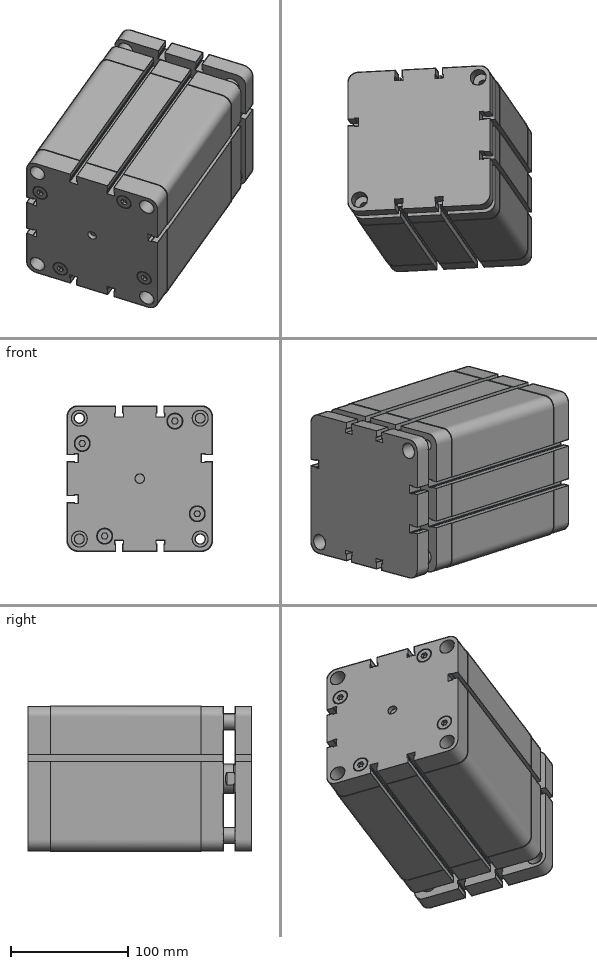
import cadquery as cq
import math

total_length = 190.5
barrel_size = 124.0
barrel_corner_radius = 9.5
cap_size = 123.0
cap_corner_radius = 9.0
body_length = 166.5
cap_length = 19.2
plate_thickness = 14.1

slot_offset = 17.5
slot_mouth_width = 6.0
slot_mouth_depth = 6.3
slot_foot_width = 7.2
slot_depth = 9.5

corner_hole_offset = 51.5
corner_hole_diameter = 8.4
corner_bore_diameter = 13.5
corner_bore_depth = 15.2
blind_hole_depth = 38.1

screw_near_offset = 30.0
screw_far_offset = 49.0
screw_recess_diameter = 13.5
screw_head_diameter = 12.5
screw_gap_depth = 5.7
socket_width = 5.0
socket_depth = 2.9

port_diameter = 8.0
port_depth = 4.4

guide_rod_offset = 48.4
guide_rod_diameter = 14.0
piston_rod_diameter = 25.0
piston_rod_chamfer_length = 1.3
piston_rod_chamfer_depth = 0.8
flat_to_flat = 22.5
flat_length = 7.0

front_y = -total_length / 2
body_back_y = front_y + body_length
plate_y = total_length / 2 - plate_thickness
gap_length = plate_y - body_back_y


def plane_at(y):
    """Section plane at y: local x is X, local y is Z, extrusion goes towards +Y."""
    return cq.Workplane(cq.Plane(origin=(0, y, 0), xDir=(1, 0, 0), normal=(0, -1, 0)))


def rounded_block(size, radius, y, length):
    return plane_at(y).rect(size, size).extrude(-length).edges("|Y").fillet(radius)


def cylinders(points, diameter, y, length):
    return plane_at(y).pushPoints(points).circle(diameter / 2).extrude(-length)


def t_slot(offset, turn):
    """T-slot over the whole length on the top face, turned about Y onto another side."""
    top = barrel_size / 2
    floor = top - slot_depth
    foot_height = slot_depth - slot_mouth_depth
    mouth = (
        plane_at(front_y)
        .center(offset, floor + slot_depth / 2)
        .rect(slot_mouth_width, slot_depth)
        .extrude(-total_length)
    )
    foot = (
        plane_at(front_y)
        .center(offset, floor + foot_height / 2)
        .rect(slot_foot_width, foot_height)
        .extrude(-total_length)
    )
    return mouth.union(foot).rotate((0, 0, 0), (0, 1, 0), turn)


def piston_rod():
    radius = piston_rod_diameter / 2
    rod = (
        cq.Workplane("XY")
        .moveTo(0, body_back_y)
        .lineTo(radius, body_back_y)
        .lineTo(radius, plate_y - piston_rod_chamfer_length)
        .lineTo(radius - piston_rod_chamfer_depth, plate_y)
        .lineTo(0, plate_y)
        .close()
        .revolve(360, (0, 0, 0), (0, 1, 0))
    )
    flat = flat_to_flat / 2
    flat_cut_depth = radius - flat
    for side in (-1, 1):
        cut = (
            cq.Workplane("XY", origin=(0, 0, -radius))
            .moveTo(side * flat, plate_y)
            .lineTo(side * flat, plate_y - flat_length)
            .lineTo(side * radius, plate_y - flat_length - flat_cut_depth)
            .lineTo(side * radius, plate_y)
            .close()
            .extrude(piston_rod_diameter)
        )
        rod = rod.cut(cut)
    return rod


def screw_recesses(points):
    """Gap around each flush screw head, plus its hexagon socket."""
    gaps = (
        plane_at(front_y)
        .pushPoints(points)
        .circle(screw_recess_diameter / 2)
        .circle(screw_head_diameter / 2)
        .extrude(-screw_gap_depth)
    )
    socket_across_corners = socket_width / math.cos(math.pi / 6)
    sockets = (
        plane_at(front_y)
        .pushPoints(points)
        .polygon(6, socket_across_corners)
        .extrude(-socket_depth)
    )
    return gaps.union(sockets)


corner_points = [
    (x * corner_hole_offset, z * corner_hole_offset) for x in (-1, 1) for z in (-1, 1)
]
through_hole_points = [(x, z) for x, z in corner_points if x * z < 0]
blind_hole_points = [(x, z) for x, z in corner_points if x * z > 0]
guide_rod_points = [
    (-guide_rod_offset, -guide_rod_offset),
    (guide_rod_offset, guide_rod_offset),
]
screw_points = [
    (screw_near_offset, screw_far_offset),
    (screw_far_offset, -screw_near_offset),
    (-screw_near_offset, -screw_far_offset),
    (-screw_far_offset, screw_near_offset),
]

caps_y = [front_y, body_back_y - cap_length]
barrel_length = body_length - 2 * cap_length
result = rounded_block(barrel_size, barrel_corner_radius, front_y + cap_length, barrel_length)
for cap_y in caps_y:
    result = result.union(rounded_block(cap_size, cap_corner_radius, cap_y, cap_length))
result = result.union(rounded_block(cap_size, cap_corner_radius, plate_y, plate_thickness))

for offset, turn in (
    (-slot_offset, 0),
    (slot_offset, 0),
    (-slot_offset, 180),
    (slot_offset, 180),
    (-slot_offset, -90),
    (slot_offset, -90),
    (-slot_offset, 90),
):
    result = result.cut(t_slot(offset, turn))

result = result.union(cylinders(guide_rod_points, guide_rod_diameter, body_back_y, gap_length))
result = result.union(piston_rod())

result = result.cut(cylinders(through_hole_points, corner_hole_diameter, front_y, body_length))
result = result.cut(cylinders(blind_hole_points, corner_hole_diameter, front_y, blind_hole_depth))
result = result.cut(cylinders(corner_points, corner_bore_diameter, front_y, corner_bore_depth))
result = result.cut(cylinders(through_hole_points, corner_bore_diameter, plate_y, plate_thickness))

result = result.cut(screw_recesses(screw_points))
result = result.cut(cylinders([(0, 0)], port_diameter, front_y, port_depth))